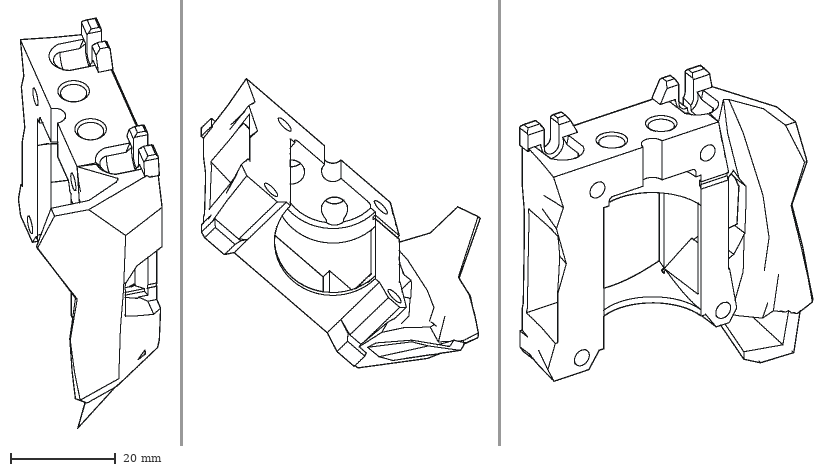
import cadquery as cq
import math


depth = 14.55
bore_radius = 11.15
left_break_y = 6.45
top_bevel = 0.35
front_wall = 2.7
back_wall = 1.8
roof_bottom = -10.5
back_window_top = -17.3
shelf_rim = -40.4
shelf_slope = 0.53
shelf_bottom = -41.8
leg_inner = 12.25
leg_bottom = -45.3
side_window_top = -13.8
side_window_bottom = -37.0
arm_right = 17.5
arm_wall = 1.15
arm_hollow_right = 19.75
side_reach = 35.8
margin = 3.0

bolt_diameter = 3.4
upper_bolt_x = 12.65
upper_bolt_z = -6.1
lower_bolt_x = 16.25
lower_bolt_z = -42.15
tube_diameter = 5.0
tube_rim_diameter = 6.0
tube_x = 5.7
tube_y = 5.55
groove_radius = 2.15
recess_radius = 9.95
recess_top = -8.65
recess_fillet = 0.9

lug_height = 4.0
lug_front = 11.65
lug_x = 15.45
lug_slot_radius = 1.7
lug_root = 0.6
lug_top_chamfer = 0.7
lug_edge_chamfer = 0.95
lug_back_chamfer = 0.4
pocket_radius = 2.75
pocket_rim_radius = 3.9
pocket_front = 6.55
pocket_dome = 2.8

heel_bottom = -46.7
heel_front = 10.75
heel_chamfer = 0.85
heel_inner = 14.8
heel_outer = 20.85
heel_right = 19.35

toe_skew = 0.6
toe_lean = 0.25

arm_ledge_top = -12.0
arm_ledge_bottom = -13.6
arm_ledge_right = 18.1
arm_ledge_depth = 0.6


def box(x_range, y_range, z_range):
    """Axis-aligned box from its limits along X, Y and Z."""
    size = [high - low for low, high in (x_range, y_range, z_range)]
    corner = (x_range[0], y_range[0], z_range[0])
    return cq.Workplane("XY").box(*size, centered=False).translate(corner)


def prism_y(points, y_front, y_back):
    """Prism along Y from an (x, z) outline."""
    plane = cq.Workplane("XZ", origin=(0, y_front, 0))
    return plane.polyline(points).close().extrude(y_front - y_back)


def prism_x(points, x_left, x_right):
    """Prism along X from a (y, z) outline."""
    plane = cq.Workplane("YZ", origin=(x_left, 0, 0))
    return plane.polyline(points).close().extrude(x_right - x_left)


def rod_y(x, z, radius, y_front, y_back):
    """Cylinder along Y."""
    return cq.Workplane("XZ", origin=(x, y_front, z)).circle(radius).extrude(y_front - y_back)


def rod_z(x, y, radius, z_bottom, z_top):
    """Cylinder along Z."""
    return cq.Workplane("XY", origin=(x, y, z_bottom)).circle(radius).extrude(z_top - z_bottom)


def faceted(sections):
    """Solid with ruled facets between polygons of 3D points."""
    wires = [cq.Wire.makePolygon([cq.Vector(*p) for p in pts], close=True) for pts in sections]
    return cq.Workplane(obj=cq.Solid.makeLoft(wires, True))


def faceted_frame():
    """Outer frame; its left side is broken into facets between the front and back outlines."""
    legs_and_arm = [
        (-14.6, leg_bottom), (-leg_inner, shelf_bottom), (leg_inner, shelf_bottom),
        (14.6, leg_bottom), (17.6, leg_bottom), (heel_right, -42.6), (arm_right, -32.25),
        (arm_right, arm_ledge_top), (15.15, 0),
    ]
    left_front = [
        (-22.75, 0), (-20.5, -7.45), (-22.1, -11.65), (-19.8, -20.1), (-21.75, -26.0),
        (-21.75, -36.9), (-22.3, -36.95), (-24.05, -42.25), (-22.6, leg_bottom),
    ]
    left_middle = [
        (-21.5, 0), (-20.65, -7.9), (-21.0, -10.75), (-20.05, -18.2), (-20.8, -24.05),
        (-21.0, -36.4), (-21.2, -37.0), (-21.9, -41.8), (-21.8, leg_bottom),
    ]
    left_back = [
        (-20.3, 0), (-20.3, -8.5), (-20.3, -9.55), (-19.8, -15.5), (-19.8, -21.5),
        (-20.05, -35.8), (-20.3, -37.0), (-20.3, -41.2), (-20.3, leg_bottom),
    ]
    rows = {0: left_front, left_break_y: left_middle, depth: left_back}
    frame = faceted([[(x, y, z) for x, z in left + legs_and_arm] for y, left in rows.items()])
    bevel_outline = [(depth - top_bevel, 0), (depth, 0), (depth, -top_bevel)]
    bevel = prism_x(bevel_outline, -side_reach, arm_right)
    return frame.cut(bevel)


def faceted_fin():
    """Curved guard on the right, built up from level cross-sections."""
    inner_x = 16.7
    levels = {
        0: [(15.15, 0), (20.65, 6.55), (21.5, 5.95), (25.1, -0.6), (25.15, -8.2), (27.45, -8.2),
            (27.6, -1.4), (20.3, depth)],
        -7.15: [(16.55, 0), (21.0, 5.7), (23.6, 4.2), (25.15, -1.8), (27.15, -11.7), (27.75, -11.7),
                (29.1, 5.55), (23.35, depth)],
        -20.9: [(17.5, 1.2), (23.0, 3.0), (26.55, 1.8), (27.45, -1.2), (28.9, -4.4), (29.25, -4.2),
                (29.25, 5.1), (23.35, depth)],
        -29.85: [(17.5, 1.8), (22.8, 2.7), (27.15, 0.6), (28.05, -1.8), (30.2, -5.95), (30.55, -5.95),
                (30.15, 4.2), (22.7, depth)],
        -37.0: [(18.5, 3.0), (22.7, 2.8), (26.25, 0.9), (27.75, -1.8), (31.75, -5.95), (32.1, -5.55),
                (29.95, 4.05), (22.1, depth)],
        -43.0: [(18.5, 3.6), (20.9, 3.0), (25.7, -1.2), (27.75, -0.6), (32.95, -5.7), (33.6, -4.9),
                (29.85, 3.95), (21.5, depth)],
        -45.95: [(18.5, 5.95), (20.9, 2.4), (24.5, -1.2), (27.75, 0), (31.05, -3.45), (31.65, -3.0),
                (28.65, 3.95), (20.3, depth)],
    }
    sections = []
    for z, outline in levels.items():
        sections.append([(x, y, z) for x, y in [(inner_x, depth)] + outline])
    return faceted(sections)


def fin_toe():
    """Sloping toe with an upturned right edge that closes the bottom of the fin."""
    corner_x, corner_y, corner_z = 21.3, 0.55, -54.9

    def front_y(x, z):
        """Y of the slanted front end plane."""
        return corner_y - toe_skew * (x - corner_x) + toe_lean * (z - corner_z)

    back_outline = [
        (18.5, -43.6), (18.5, -45.4), (21.5, -45.4), (23.3, -44.8),
        (25.1, -42.4), (23.9, -41.2), (22.1, -43.6),
    ]
    front_outline = [
        (21.5, -53.45), (corner_x, corner_z), (23.95, -55.7), (29.7, -53.85),
        (31.75, -45.4), (29.85, -45.4), (28.05, -52.25),
    ]
    back = [(x, heel_front, z) for x, z in back_outline]
    front = [(x, front_y(x, z), z) for x, z in front_outline]
    return faceted([back, front])


def heels():
    """Chamfered feet below the back of both legs."""
    side = [
        (heel_front, shelf_bottom), (depth, shelf_bottom), (depth, heel_bottom),
        (heel_front + heel_chamfer, heel_bottom), (heel_front, leg_bottom),
    ]
    outlines = [
        [(-leg_inner, shelf_bottom), (-heel_inner, heel_bottom), (-20.0, heel_bottom),
         (-heel_outer, leg_bottom), (-heel_outer, shelf_bottom)],
        [(leg_inner, shelf_bottom), (heel_inner, heel_bottom), (heel_right, heel_bottom),
         (heel_right, shelf_bottom)],
    ]
    solid = prism_y(outlines[0], heel_front, depth).union(prism_y(outlines[1], heel_front, depth))
    return solid.intersect(prism_x(side, -side_reach, side_reach))


def lug_pair(x_center, left_prong, right_prong):
    """Two chamfered prongs around a screw slot.

    Each prong is given by how far its outer edge is from the slot centre at the base,
    at the shoulder and at the top.
    """
    shoulder_z = lug_height - lug_top_chamfer
    solid = cq.Workplane("XY")
    for side, (base, shoulder, top) in ((-1, left_prong), (1, right_prong)):
        outline = [
            (lug_slot_radius, -lug_root),
            (lug_slot_radius, shoulder_z),
            (lug_slot_radius + lug_top_chamfer / 2, lug_height),
            (top, lug_height),
            (shoulder, shoulder_z),
            (base, 0),
            (base, -lug_root),
        ]
        placed = [(x_center + side * x, z) for x, z in outline]
        solid = solid.union(prism_y(placed, lug_front, depth))
    front_edge = [
        (lug_front, -lug_root), (depth, -lug_root),
        (depth, lug_height - lug_back_chamfer), (depth - lug_back_chamfer, lug_height),
        (lug_front + lug_edge_chamfer, lug_height), (lug_front, lug_height - lug_edge_chamfer),
    ]
    return solid.intersect(prism_x(front_edge, -side_reach, side_reach))


def screw_pocket(x_center):
    """Domed channel for a screw head with a sloped rim, plus the shank slot behind it."""
    rim_depth = pocket_rim_radius - pocket_radius
    dome_height = pocket_dome * pocket_radius / pocket_rim_radius
    dome_front = pocket_front - dome_height
    dome_radius = (pocket_radius**2 + dome_height**2) / (2 * dome_height)
    half_way = pocket_radius / 2
    half_way_y = dome_front + dome_radius - math.sqrt(dome_radius**2 - half_way**2)
    head = (
        cq.Workplane("XY", origin=(x_center, 0, -rim_depth))
        .moveTo(0, lug_front)
        .lineTo(0, dome_front)
        .threePointArc((half_way, half_way_y), (pocket_radius, pocket_front))
        .lineTo(pocket_radius, lug_front)
        .close()
        .revolve(360, (0, 0, 0), (0, 1, 0))
    )
    rim = (
        cq.Workplane("XY", origin=(x_center, 0, 0))
        .moveTo(-pocket_rim_radius, lug_front)
        .lineTo(-pocket_rim_radius, pocket_front)
        .threePointArc((0, pocket_front - pocket_dome), (pocket_rim_radius, pocket_front))
        .lineTo(pocket_rim_radius, lug_front)
        .close()
        .extrude(-rim_depth, taper=45)
    )
    shank_y = (lug_front - 0.6, depth + margin)
    shank = rod_y(x_center, -rim_depth, lug_slot_radius, *shank_y)
    sides = (x_center - lug_slot_radius, x_center + lug_slot_radius)
    shank_entry = box(sides, shank_y, (-rim_depth, lug_height))
    return head.union(rim).union(shank).union(shank_entry)


def bore():
    """Upright bore, its recess in the roof and the groove up the front face."""
    main = rod_z(0, 0, bore_radius, heel_bottom - margin, roof_bottom)
    recess = rod_z(0, 0, recess_radius, roof_bottom - 0.6, recess_top)
    recess = recess.faces(">Z").edges().fillet(recess_fillet)
    groove = rod_z(0, 0, groove_radius, roof_bottom, margin)
    return main.union(recess).union(groove)


def back_window():
    """Opening through the back wall, as wide as the bore and ending on a conical shelf."""
    reach = bore_radius * 2
    cone_rise = (reach - bore_radius) * shelf_slope
    cone = (
        cq.Workplane("XZ")
        .polyline([
            (0, back_window_top), (reach, back_window_top), (reach, shelf_rim + cone_rise),
            (bore_radius, shelf_rim), (0, shelf_rim),
        ])
        .close()
        .revolve(360, (0, 0, 0), (0, 1, 0))
    )
    width = box((-bore_radius, bore_radius), (-margin, reach), (shelf_bottom, back_window_top))
    return cone.intersect(width)


def side_windows():
    """Openings through the left leg, the right arm and the corner behind the fin."""
    inside_back = depth - back_wall
    leg = prism_y(
        [(-side_reach, side_window_top), (-20.9, side_window_top), (-bore_radius, back_window_top),
         (-bore_radius + 0.6, back_window_top), (-bore_radius + 0.6, side_window_bottom),
         (-side_reach, side_window_bottom)],
        front_wall, inside_back,
    )
    leg_edge = (
        cq.Workplane("XY", origin=(0, 0, side_window_bottom))
        .polyline([(-21.85, 0), (-19.4, front_wall), (-side_reach, front_wall), (-side_reach, 0)])
        .close()
        .extrude(side_window_top - side_window_bottom)
    )
    arm = prism_y(
        [(bore_radius - 0.6, back_window_top), (arm_hollow_right, back_window_top),
         (arm_hollow_right, -31.05), (bore_radius - 0.6, -37.9)],
        arm_wall, inside_back,
    )
    fin = prism_x(
        [(depth + margin, back_window_top), (8.35, back_window_top), (5.5, -19.7), (5.5, -27.9),
         (inside_back, -34.0), (depth + margin, -34.0)],
        arm_hollow_right, side_reach,
    )
    return leg.union(leg_edge).union(arm).union(fin)


def fin_gap():
    """Space between the arm and the fin, and the opening behind it through the back wall."""
    gap = prism_y(
        [(arm_right, -14.3), (20.9, -14.3), (23.5, -18.5),
         (23.0, -28.55), (20.3, -32.25), (arm_right, -33.45)],
        -margin, depth - back_wall,
    )
    opening = prism_y(
        [(18.7, -15.8), (arm_hollow_right, -15.8), (22.0, -18.15), (23.5, -18.5), (23.0, -28.55),
         (20.95, -29.4), (19.35, -31.05), (arm_hollow_right, -29.8),
         (arm_hollow_right, -20.6)],
        -margin, depth + margin,
    )
    return gap.union(opening)


def arm_ledge():
    """Shallow groove with a sloped floor across the top of the right arm."""
    outline = [
        (-margin, arm_ledge_top), (arm_ledge_depth, arm_ledge_top),
        (arm_ledge_depth, arm_ledge_bottom + arm_ledge_depth),
        (0, arm_ledge_bottom), (-margin, arm_ledge_bottom),
    ]
    return prism_x(outline, bore_radius, arm_ledge_right)


def tube_hole(x):
    """Tube passage down through the roof with a chamfered mouth."""
    mouth_depth = (tube_rim_diameter - tube_diameter) / 2
    passage = rod_z(x, tube_y, tube_diameter / 2, recess_top - margin, margin)
    mouth = (
        cq.Workplane("XY", origin=(x, tube_y, 0))
        .circle(tube_rim_diameter / 2)
        .extrude(-mouth_depth, taper=45)
    )
    return passage.union(mouth)


def bolt_hole(x, z):
    """Bolt hole through the whole depth of the frame."""
    return rod_y(x, z, bolt_diameter / 2, -margin, depth + margin)


straight_prong = (5.45, 5.45, 4.8)
leaning_prong = (5.95, 4.3, 3.9)
steep_prong = (5.95, 5.4, 4.9)

result = faceted_frame().union(faceted_fin()).union(fin_toe()).union(heels())
result = result.union(lug_pair(-lug_x, straight_prong, leaning_prong))
result = result.union(lug_pair(lug_x, leaning_prong, steep_prong))
result = result.cut(bore()).cut(back_window()).cut(side_windows()).cut(fin_gap())

for side in (-1, 1):
    result = result.cut(screw_pocket(side * lug_x))
    result = result.cut(tube_hole(side * tube_x))
    result = result.cut(bolt_hole(side * upper_bolt_x, upper_bolt_z))
    result = result.cut(bolt_hole(side * lower_bolt_x, lower_bolt_z))

result = result.cut(arm_ledge())